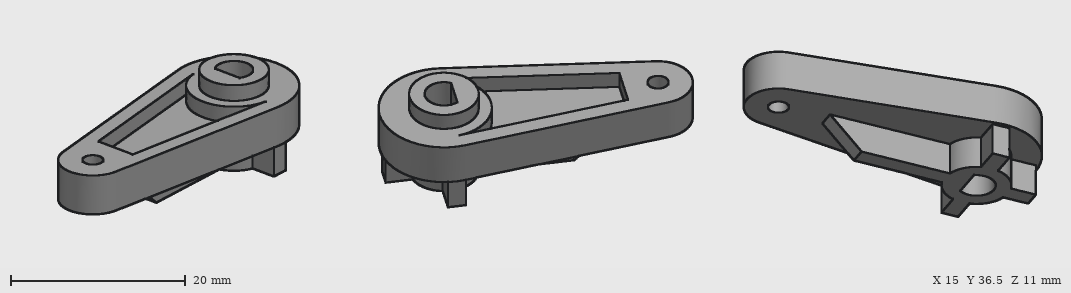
import cadquery as cq
import math

hub_end_radius = 15.0 / 2
tip_end_radius = 8.0 / 2
arm_length = 25.0
plate_thickness = 5.0

boss_diameter = 2 * tip_end_radius
boss_height = 2.0
bore_diameter = 4.4
bore_flat_offset = 1.2
tip_hole_diameter = 2.4

pocket_wall = 2.0
pocket_end = 20.98
pocket_depth = 2.0

spigot_diameter = boss_diameter
lower_height = 3.98
rib_thickness = 2.1
rib_reach = 7.0
cross_rib_shift = 0.15
long_rib_reach = 18.97

side_angle = math.asin((hub_end_radius - tip_end_radius) / arm_length)


def side_point(radius, center_y):
    """Point where the +X side touches an end circle centered on the Y axis."""
    return (radius * math.cos(side_angle), center_y - radius * math.sin(side_angle))


def mirrored(point):
    return (-point[0], point[1])


def make_plate():
    hub_tangent = side_point(hub_end_radius, 0)
    tip_tangent = side_point(tip_end_radius, -arm_length)
    return (
        cq.Workplane("XY")
        .moveTo(*hub_tangent)
        .threePointArc((0, hub_end_radius), mirrored(hub_tangent))
        .lineTo(*mirrored(tip_tangent))
        .threePointArc((0, -arm_length - tip_end_radius), tip_tangent)
        .close()
        .extrude(plate_thickness)
    )


def make_pocket():
    """Tapered pocket, parallel to the sides and ending in an arc around the hub."""
    arc_radius = hub_end_radius - pocket_wall
    arc_end = side_point(arc_radius, 0)
    end_half_width = arc_end[0] - (pocket_end + arc_end[1]) * math.tan(side_angle)
    return (
        cq.Workplane("XY", origin=(0, 0, plate_thickness - pocket_depth))
        .moveTo(*arc_end)
        .threePointArc((0, -arc_radius), mirrored(arc_end))
        .lineTo(-end_half_width, -pocket_end)
        .lineTo(end_half_width, -pocket_end)
        .close()
        .extrude(pocket_depth)
    )


def make_boss():
    return (
        cq.Workplane("XY", origin=(0, 0, plate_thickness))
        .circle(boss_diameter / 2)
        .extrude(boss_height)
    )


def make_spigot():
    return cq.Workplane("XY").circle(spigot_diameter / 2).extrude(-lower_height)


def make_cross_rib():
    return (
        cq.Workplane("XY")
        .center(0, -cross_rib_shift)
        .rect(2 * rib_reach, rib_thickness)
        .extrude(-lower_height)
    )


def make_long_rib():
    """Rib along Y with a 45 degree ramp at its tip end."""
    profile = [
        (rib_reach, 0),
        (rib_reach, -lower_height),
        (-long_rib_reach + lower_height, -lower_height),
        (-long_rib_reach, 0),
    ]
    return cq.Workplane("YZ").polyline(profile).close().extrude(rib_thickness / 2, both=True)


def make_bore():
    """Through bore with a flat on its -Y side."""
    bore_radius = bore_diameter / 2
    flat_half_width = math.sqrt(bore_radius**2 - bore_flat_offset**2)
    return (
        cq.Workplane("XY", origin=(0, 0, -lower_height))
        .moveTo(flat_half_width, -bore_flat_offset)
        .threePointArc((0, bore_radius), (-flat_half_width, -bore_flat_offset))
        .close()
        .extrude(lower_height + plate_thickness + boss_height)
    )


def make_tip_hole():
    return (
        cq.Workplane("XY")
        .center(0, -arm_length)
        .circle(tip_hole_diameter / 2)
        .extrude(plate_thickness)
    )


result = (
    make_plate()
    .cut(make_pocket())
    .union(make_boss())
    .union(make_spigot())
    .union(make_cross_rib())
    .union(make_long_rib())
    .cut(make_bore())
    .cut(make_tip_hole())
)